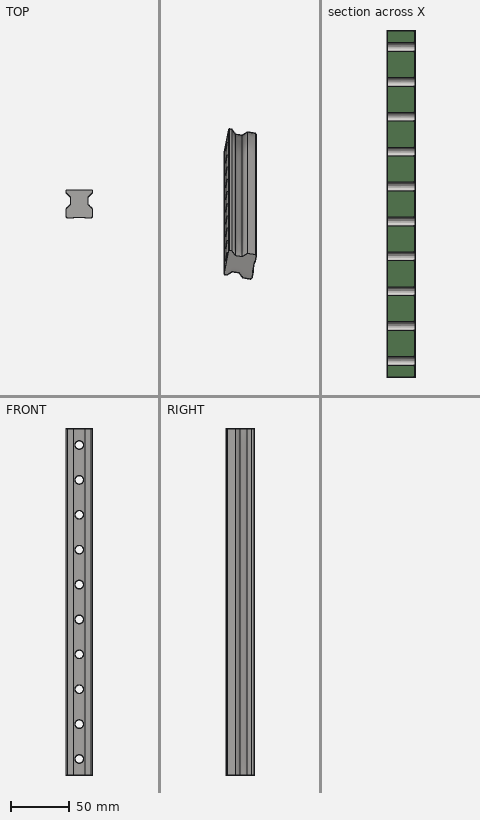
import cadquery as cq

width = 23.0
depth = 24.5
length = 298.0

channel_depth = 4.0
back_lip = 2.7
channel_floor = 6.0

front_chamfer = 1.2
back_chamfer = 0.5
relief_width = 9.8
relief_depth = 0.5

hole_diameter = 7.2
hole_count = 10
end_margin = 14.0
hole_pitch = (length - 2 * end_margin) / (hole_count - 1)

half_width = width / 2
back = depth / 2
front = -back
waist = half_width - channel_depth

channel_start = back - back_lip
floor_start = channel_start - channel_depth
floor_end = floor_start - channel_floor
channel_end = floor_end - channel_depth


def rail_body():
    """Extrude the symmetric cross-section, centred on the origin."""
    right_side = [
        (relief_width / 2, front + relief_depth),
        (relief_width / 2, front),
        (half_width - front_chamfer, front),
        (half_width, front + front_chamfer),
        (half_width, channel_end),
        (waist, floor_end),
        (waist, floor_start),
        (half_width, channel_start),
        (half_width, back - back_chamfer),
        (half_width - back_chamfer, back),
    ]
    left_side = [(-x, y) for x, y in reversed(right_side)]
    outline = cq.Workplane("XY").polyline(right_side + left_side).close()
    return outline.extrude(length / 2, both=True)


def mounting_holes():
    """One row of cylinders, centred along the length of the rail."""
    row = cq.Workplane("XZ").rarray(3, hole_pitch, 1, hole_count)
    return row.circle(hole_diameter / 2).extrude(depth, both=True)


result = rail_body().cut(mounting_holes())